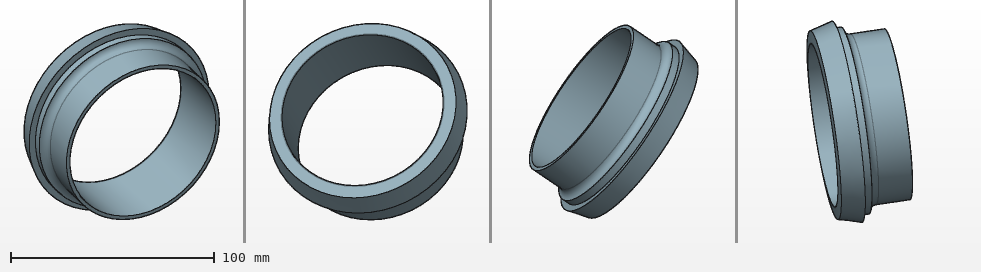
import cadquery as cq
import math

total_length = 37.0
face_cone_depth = 0.6
flange_end = 12.0
collar_end = 16.0

flange_radius = 100.0 / 2
flange_front_radius = 46.9
collar_radius = 93.0 / 2
tube_radius = 85.0 / 2
bore_radius = 81.0 / 2

land_width = 0.5
land_radius = bore_radius + land_width

neck_radius = collar_radius - tube_radius
neck_end = collar_end + neck_radius
neck_mid_offset = neck_radius * (1 - math.sqrt(0.5))
neck_middle = (collar_end + neck_mid_offset, tube_radius + neck_mid_offset)

section = (
    cq.Workplane("XY")
    .moveTo(0, bore_radius)
    .lineTo(0, land_radius)
    .lineTo(face_cone_depth, flange_front_radius)
    .lineTo(flange_end, flange_radius)
    .lineTo(flange_end, collar_radius)
    .lineTo(collar_end, collar_radius)
    .threePointArc(neck_middle, (neck_end, tube_radius))
    .lineTo(total_length, tube_radius)
    .lineTo(total_length, bore_radius)
    .close()
)

result = section.revolve(360, (0, 0, 0), (1, 0, 0)).translate((-total_length / 2, 0, 0))